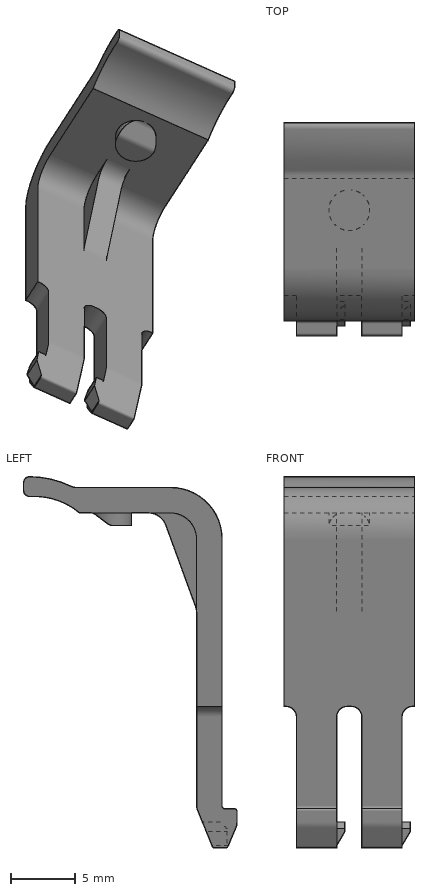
import cadquery as cq

width = 10.15
height = 28.85
thickness = 2.0
bend_radius = 4.0
inner_bend_radius = bend_radius - thickness
shelf_top = 28.0
shelf_bottom = shelf_top - thickness

lip_end = 15.43
lip_thickness = 1.55
lip_bottom = height - lip_thickness
lip_round = 0.5
lip_flat_end = 14.92
lip_top_mid = (13.27, 28.65)
lip_top_foot = 11.57
lip_foot_radius = 1.0
lip_bottom_mid = (12.8, 27.0)
lip_bottom_foot = 11.08

shoulder_height = 11.0
leg_width = 3.15
slot_width = 1.93
leg_span = 2 * leg_width + slot_width
leg_side_inset = (width - leg_span) / 2
leg_root_radius = 0.8

hook_reach = 1.15
hook_top = 3.05
hook_edge_radius = 0.2
hook_slope_top = 1.75
foot_front = -0.4
foot_back = 0.72
back_slope_top = 3.12
slope_blend_radius = 1.0

barb_reach = 0.63
barb_front = -0.38
barb_bottom = 0.2
barb_slope_top = 1.27
barb_top = 2.02
barb_chamfer = 0.52

gusset_width = 2.0
gusset_shelf_end = 4.73
gusset_wall_end = 18.52
gusset_blend_radius = 1.45

peg_diameter = 3.17
peg_front = 7.05
peg_depth = 0.98
ramp_start = 10.0
ramp_end = 8.7
ramp_radius = 0.58
overlap = 0.3


def extrude_across(profile, distance):
    """Extrude a YZ profile symmetrically about X = 0."""
    return profile.extrude(distance / 2, both=True)


def round_at(body, radius, *points):
    """Round the X-directed edges that pass through the given (Y, Z) points."""
    for y, z in points:
        edge = body.edges("|X").edges(cq.selectors.NearestToPointSelector((0, y, z)))
        body = edge.fillet(radius)
    return body


def make_bent_strip():
    """Side profile of lip, shelf, bend, leg and hook across the full width."""
    strip = extrude_across(
        cq.Workplane("YZ")
        .moveTo(foot_front, 0)
        .lineTo(-hook_reach, hook_slope_top)
        .lineTo(-hook_reach, hook_top)
        .lineTo(0, hook_top)
        .lineTo(0, shelf_top - bend_radius)
        .radiusArc((bend_radius, shelf_top), bend_radius)
        .lineTo(lip_top_foot, shelf_top)
        .threePointArc(lip_top_mid, (lip_flat_end, height))
        .lineTo(lip_end, height)
        .lineTo(lip_end, lip_bottom)
        .lineTo(lip_flat_end, lip_bottom)
        .threePointArc(lip_bottom_mid, (lip_bottom_foot, shelf_bottom))
        .lineTo(bend_radius, shelf_bottom)
        .radiusArc((thickness, shelf_bottom - inner_bend_radius), -inner_bend_radius)
        .lineTo(thickness, back_slope_top)
        .lineTo(foot_back, 0)
        .close(),
        width,
    )
    strip = round_at(strip, lip_round, (lip_end, height), (lip_end, lip_bottom))
    strip = round_at(
        strip, hook_edge_radius, (-hook_reach, hook_top), (0, hook_top), (foot_front, 0), (foot_back, 0)
    )
    strip = round_at(strip, lip_foot_radius, (lip_top_foot, shelf_top))
    return round_at(
        strip, slope_blend_radius, (-hook_reach, hook_slope_top), (thickness, back_slope_top)
    )


def leg_gap(left, right):
    """Block with a round-cornered top that clears the strip below the shoulders."""
    depth = 2 * (hook_reach + thickness)
    return (
        cq.Workplane("XY")
        .box(right - left, depth, shoulder_height + overlap, centered=(False, True, False))
        .translate((left, 0, -overlap))
    )


def cut_legs(body):
    """Open the central slot and set the outer sides of the legs inward."""
    slot = leg_gap(-slot_width / 2, slot_width / 2)
    body = body.cut(slot.edges("|Y and >Z").fillet(leg_root_radius))
    right_notch = leg_gap(leg_span / 2, leg_span / 2 + leg_side_inset + overlap)
    right_notch = right_notch.edges("|Y and >Z and <X").fillet(leg_root_radius)
    return body.cut(right_notch).cut(right_notch.mirror("YZ"))


def make_barb(leg_side):
    """Sloped side barb growing from the +X side of a leg, flush with its back."""
    tip = leg_side + barb_reach
    barb = (
        cq.Workplane("XZ", origin=(0, barb_front, 0))
        .moveTo(leg_side - overlap, barb_bottom)
        .lineTo(leg_side, barb_bottom)
        .lineTo(tip, barb_slope_top)
        .lineTo(tip, barb_top)
        .lineTo(leg_side - overlap, barb_top)
        .close()
        .extrude(barb_front - thickness)
    )
    barb = barb.edges("|X and >Z and <Y").chamfer(barb_chamfer)
    back_limit = extrude_across(
        cq.Workplane("YZ").polyline(
            [
                (-hook_reach, 0),
                (foot_back, 0),
                (thickness, back_slope_top),
                (-hook_reach, back_slope_top),
            ]
        ).close(),
        2 * width,
    )
    return barb.intersect(back_limit)


def make_gusset():
    """Central web between the shelf and the upright, blended at both ends."""
    gusset = extrude_across(
        cq.Workplane("YZ").polyline(
            [
                (thickness - overlap, shelf_bottom + overlap),
                (lip_bottom_foot, shelf_bottom + overlap),
                (lip_bottom_foot, shelf_bottom),
                (gusset_shelf_end, shelf_bottom),
                (thickness, gusset_wall_end),
                (thickness, shoulder_height),
                (thickness - overlap, shoulder_height),
            ]
        ).close(),
        gusset_width,
    )
    ends = [(gusset_shelf_end, shelf_bottom), (thickness, gusset_wall_end)]
    return round_at(gusset, gusset_blend_radius, *ends)


def make_peg():
    """Round peg under the shelf, its +Y side cut back by a blended ramp."""
    peg_center = peg_front + peg_diameter / 2
    peg_bottom = shelf_bottom - peg_depth
    peg = (
        cq.Workplane("XY", origin=(0, peg_center, peg_bottom))
        .circle(peg_diameter / 2)
        .extrude(peg_depth + overlap)
    )
    far_side = peg_front + peg_diameter + overlap
    ramp = extrude_across(
        cq.Workplane("YZ").polyline(
            [
                (peg_front - overlap, peg_bottom),
                (ramp_end, peg_bottom),
                (ramp_start, shelf_bottom),
                (far_side, shelf_bottom),
                (far_side, shelf_bottom + overlap),
                (peg_front - overlap, shelf_bottom + overlap),
            ]
        ).close(),
        width,
    )
    ramp = round_at(ramp, ramp_radius, (ramp_end, peg_bottom), (ramp_start, shelf_bottom))
    return peg.intersect(ramp)


result = cut_legs(make_bent_strip())
for barb_side in (-slot_width / 2, leg_span / 2):
    result = result.union(make_barb(barb_side))
result = result.union(make_gusset()).union(make_peg())